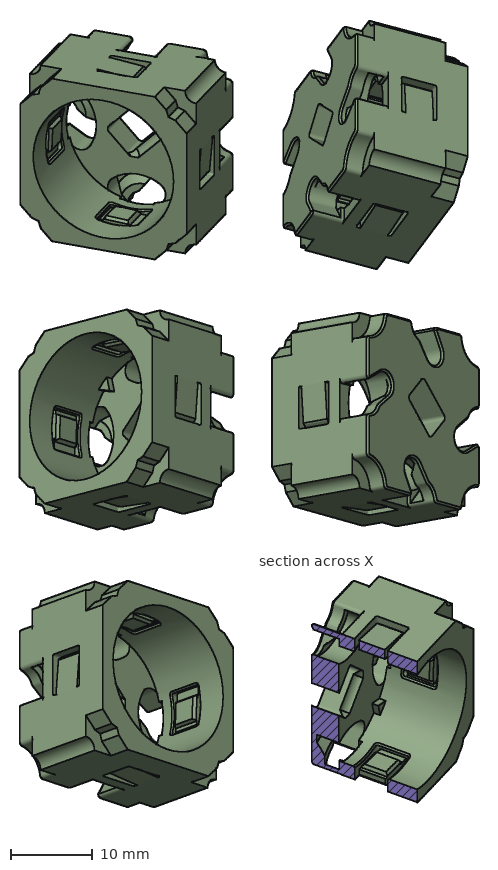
import cadquery as cq
import math


SIDE = 22.0
DEPTH = 15.0
HALF = SIDE / 2
BORE_R = 18.55 / 2
FLOOR_Y = 11.1
BACK_CHAMFER = 0.25
MOUTH_ROUND = 0.53

GROOVE_R = 1.45
LIP_DEPTH = 3.0
LIP_OUTER = 4.2
LIP_SHOULDER = 2.7
LIP_STEP = 2.4
SCALLOP_R = 3.45
SCALLOP_DEPTH = 2.45

NOTCH_R = 2.25
NOTCH_Y = 10.63
CHANNEL_R = 5.45
HOLE_R = 1.55
HOLE_ANGLE = 32.0
FLANK_ANGLE = 53.0
HOOK_NOSE_R = 0.9
RECESS_ANGLE = 39.5
HOOK_INNER_R = 3.27
HOOK_OUTER_R = 4.45
HOOK_THICK_Y = 13.1
HOOK_THIN_Y = 14.2

WINDOW_W = 5.33
WINDOW_Y0 = 4.2
WINDOW_Y1 = 8.87
WINDOW_ROUND = 0.25
TAB_Y0 = 4.6
TAB_Y1 = 8.3
TAB_BEND_X = 1.9
TAB_TIP_X = 2.45
TAB_BEND_Z = 10.6
TAB_SHOULDER_X = 2.1
TAB_SHOULDER_Z = 10.45
TAB_TIP_Z = 10.0
TAB_ROOT_INNER_Z = 9.5
TAB_TIP_INNER_Z = 9.2
TAB_OVERLAP = 0.3
PAD_START_X = -1.2
PAD_START_Z = 8.87
PAD_END_X = 1.7
PAD_END_Z = 8.75
PAD_BASE_Z = 9.4
PAD_SLOPE = 0.35
WINDOW_CHAMFER = 0.2

KEY_HALF_LENGTH = 3.1
KEY_FAR = 2.92
KEY_NEAR = 1.38
KEY_ROUND = 0.5
SCOOP_R = 0.98
SCOOP_BEVEL = 0.78

RIB_TIP_R = 7.66
RIB_HALF_WIDTH = 0.98
RIB_HEIGHT = 0.9


def sketch(y):
    """Workplane at depth y whose local axes are X and Z."""
    return cq.Workplane("XZ", origin=(0, y, 0))


def extrude(outline, y_from, y_to):
    """Extrude an outline that lies at y_from back to y_to."""
    return outline.extrude(y_from - y_to)


def turned(shape, angle):
    return shape.rotate((0, 0, 0), (0, 1, 0), angle)


def four_times(shape):
    ring = shape
    for angle in (90, 180, 270):
        ring = ring.union(turned(shape, angle))
    return ring


def mouth_points(radius, rounding):
    """Half-width, throat and round middle of a circular cut on a face with a rounded mouth.

    Points are (along the face, below the face) measured from the circle centre.
    """
    half_width = math.sqrt((radius + rounding) ** 2 - rounding ** 2)
    share = radius / (radius + rounding)
    throat = (half_width * share, rounding * share)
    reach_x = throat[0] - half_width
    reach_z = rounding - throat[1]
    lean = (math.atan2(reach_z, reach_x) + math.pi / 2) / 2
    middle = (half_width + rounding * math.cos(lean), rounding - rounding * math.sin(lean))
    return half_width, throat, middle


def corner_groove():
    return extrude(sketch(0).center(HALF, HALF).circle(GROOVE_R), 0, DEPTH)


def corner_lip():
    """Stepped piece removed from a front corner."""
    shoulder = LIP_OUTER - LIP_SHOULDER
    outline = sketch(0).polyline([
        (HALF, HALF),
        (HALF - LIP_OUTER, HALF),
        (HALF - LIP_SHOULDER, HALF - shoulder),
        (HALF - LIP_STEP, HALF - LIP_STEP),
        (HALF - shoulder, HALF - LIP_SHOULDER),
        (HALF, HALF - LIP_OUTER),
    ]).close()
    return extrude(outline, 0, LIP_DEPTH)


def corner_scallop():
    """Quarter-round cut in a back corner with rounded ends."""
    width, throat, middle = mouth_points(SCALLOP_R, MOUTH_ROUND)
    deep = SCALLOP_R / math.sqrt(2)
    start = DEPTH - SCALLOP_DEPTH
    outline = (
        sketch(start)
        .moveTo(HALF, HALF)
        .lineTo(HALF - width, HALF)
        .threePointArc((HALF - middle[0], HALF - middle[1]), (HALF - throat[0], HALF - throat[1]))
        .threePointArc((HALF - deep, HALF - deep), (HALF - throat[1], HALF - throat[0]))
        .threePointArc((HALF - middle[1], HALF - middle[0]), (HALF, HALF - width))
        .close()
    )
    return extrude(outline, start, DEPTH)


def channel_end(angle):
    """Centre of the round end of the hook channel at an angle from straight inwards, +X positive."""
    reach = CHANNEL_R - HOLE_R
    turn = math.radians(angle)
    return reach * math.sin(turn), HALF - reach * math.cos(turn)


def channel_rim(angle):
    """Point on the channel's outer circle at an angle from straight inwards, +X positive."""
    turn = math.radians(angle)
    return CHANNEL_R * math.sin(turn), HALF - CHANNEL_R * math.cos(turn)


def around(centre, radius, angle):
    """Point on a circle, with the angle in radians from +X towards +Z."""
    return centre[0] + radius * math.cos(angle), centre[1] + radius * math.sin(angle)


def throat_tangent_angle(centre, throat, side):
    """Where a line from a throat point touches a channel end, on its -X (side -1) or +X (side 1) flank."""
    span_x = throat[0] - centre[0]
    span_z = throat[1] - centre[1]
    return math.atan2(span_z, span_x) - side * math.acos(HOLE_R / math.hypot(span_x, span_z))


def notch_outline(y):
    """Notch opening at depth y: rounded mouth, hook flank and round channel end."""
    width, throat, middle = mouth_points(NOTCH_R, MOUTH_ROUND)
    hole = channel_end(-HOLE_ANGLE)
    left_throat = (-throat[0], HALF - throat[1])
    left_angle = throat_tangent_angle(hole, left_throat, -1)
    flank = math.radians(FLANK_ANGLE)
    normal = (math.sin(flank), -math.cos(flank))
    flank_angle = flank + 1.5 * math.pi
    flank_start = around(hole, HOLE_R, flank_angle)

    across = hole[0] * normal[0] + (hole[1] - HALF) * normal[1] + HOLE_R + HOOK_NOSE_R
    centre_reach = NOTCH_R + HOOK_NOSE_R
    travel = -math.sqrt(centre_reach ** 2 - across ** 2)
    nose_x = travel * math.cos(flank) + across * normal[0]
    nose_z = travel * math.sin(flank) + across * normal[1] + HALF
    flank_end = (nose_x - HOOK_NOSE_R * normal[0], nose_z - HOOK_NOSE_R * normal[1])
    hook_tip = (nose_x * NOTCH_R / centre_reach, HALF + (nose_z - HALF) * NOTCH_R / centre_reach)

    half_turn = math.atan2(throat[0], throat[1]) / 2 + math.asin(hook_tip[0] / NOTCH_R) / 2
    arc_middle = (NOTCH_R * math.sin(half_turn), HALF - NOTCH_R * math.cos(half_turn))
    return (
        sketch(y)
        .moveTo(-width, HALF)
        .threePointArc((-middle[0], HALF - middle[1]), left_throat)
        .lineTo(*around(hole, HOLE_R, left_angle))
        .threePointArc(around(hole, HOLE_R, (left_angle + flank_angle) / 2), flank_start)
        .lineTo(*flank_end)
        .tangentArcPoint(hook_tip, relative=False)
        .threePointArc(arc_middle, (throat[0], HALF - throat[1]))
        .threePointArc((middle[0], HALF - middle[1]), (width, HALF))
        .close()
    )


def notch_opening():
    """Through opening that flares out at the back face."""
    opening = extrude(notch_outline(FLOOR_Y), FLOOR_Y, DEPTH)
    flare = notch_outline(DEPTH - BACK_CHAMFER).extrude(-BACK_CHAMFER, taper=-45)
    return opening.union(flare)


def notch_entry():
    """Part of the notch in front of the floor, reaching from the outer face into the bore."""
    width, throat, middle = mouth_points(NOTCH_R, MOUTH_ROUND)
    bottom = HALF - CHANNEL_R / 2
    outline = (
        sketch(NOTCH_Y)
        .moveTo(-width, HALF)
        .threePointArc((-middle[0], HALF - middle[1]), (-throat[0], HALF - throat[1]))
        .lineTo(-throat[0], bottom)
        .lineTo(throat[0], bottom)
        .lineTo(throat[0], HALF - throat[1])
        .threePointArc((middle[0], HALF - middle[1]), (width, HALF))
        .close()
    )
    return extrude(outline, NOTCH_Y, FLOOR_Y)


def hook_recess():
    """Hollow under the hook: ring-shaped, with a conical step in its roof."""
    throat = mouth_points(NOTCH_R, MOUTH_ROUND)[1]
    throat_z = HALF - throat[1]
    closed_end = channel_end(RECESS_ANGLE)
    start_angle = math.radians(RECESS_ANGLE) - math.pi / 2
    end_angle = throat_tangent_angle(closed_end, (throat[0], throat_z), 1)
    outline = (
        sketch(FLOOR_Y)
        .moveTo(*channel_end(-HOLE_ANGLE))
        .lineTo(*channel_rim(-HOLE_ANGLE))
        .threePointArc(channel_rim(0), channel_rim(RECESS_ANGLE))
        .threePointArc(around(closed_end, HOLE_R, (start_angle + end_angle) / 2),
                       around(closed_end, HOLE_R, end_angle))
        .lineTo(throat[0], throat_z)
        .lineTo(-throat[0], throat_z)
        .close()
    )
    hollow = extrude(outline, FLOOR_Y, HOOK_THIN_Y)
    hook = (
        cq.Workplane("XY")
        .polyline([
            (0, HOOK_THICK_Y),
            (HOOK_INNER_R, HOOK_THICK_Y),
            (HOOK_OUTER_R, HOOK_THIN_Y),
            (0, HOOK_THIN_Y),
        ])
        .close()
        .revolve(360, (0, 0, 0), (0, 1, 0))
        .translate((0, 0, HALF))
    )
    return hollow.cut(hook)


def side_window():
    height = WINDOW_Y1 - WINDOW_Y0
    return (
        cq.Workplane("XY", origin=(0, WINDOW_Y0 + height / 2, BORE_R / 2))
        .rect(WINDOW_W, height)
        .extrude(HALF)
        .edges("|Z")
        .fillet(WINDOW_ROUND)
    )


def window_rim(angle):
    """Selector for the edges where one side window breaks into the bore."""
    turn = math.radians(angle)
    middle = (BORE_R * math.sin(turn), (WINDOW_Y0 + WINDOW_Y1) / 2, BORE_R * math.cos(turn))
    along = WINDOW_W / 2 + TAB_OVERLAP
    across = BORE_R - math.sqrt(BORE_R ** 2 - along ** 2)
    reach_x = abs(along * math.cos(turn)) + abs(across * math.sin(turn))
    reach_z = abs(along * math.sin(turn)) + abs(across * math.cos(turn))
    reach_y = (WINDOW_Y1 - WINDOW_Y0) / 2 + TAB_OVERLAP
    low = (middle[0] - reach_x, middle[1] - reach_y, middle[2] - reach_z)
    high = (middle[0] + reach_x, middle[1] + reach_y, middle[2] + reach_z)
    return cq.selectors.BoxSelector(low, high)


def spring_tab():
    """Tongue rooted at the window's -X end, with a bevelled pad standing into the bore."""
    root_x = -WINDOW_W / 2
    tongue = extrude(sketch(TAB_Y0).polyline([
        (root_x - TAB_OVERLAP, TAB_ROOT_INNER_Z),
        (root_x - TAB_OVERLAP, HALF),
        (root_x, HALF),
        (TAB_BEND_X, TAB_BEND_Z),
        (TAB_SHOULDER_X, TAB_SHOULDER_Z),
        (TAB_TIP_X, TAB_TIP_Z),
        (TAB_TIP_X, TAB_TIP_INNER_Z),
    ]).close(), TAB_Y0, TAB_Y1)
    pad = extrude(sketch(TAB_Y0).polyline([
        (PAD_START_X - PAD_SLOPE, PAD_BASE_Z),
        (PAD_START_X, PAD_START_Z),
        (PAD_END_X, PAD_END_Z),
        (PAD_END_X + PAD_SLOPE, PAD_BASE_Z),
    ]).close(), TAB_Y0, TAB_Y1)
    pad = pad.faces("<Z").edges(">Y or <Y").chamfer(PAD_SLOPE)
    return tongue.union(pad)


def key_hole():
    """Through hole with rounded corners and a quarter-round scoop, bevelled at both ends."""
    outline = sketch(FLOOR_Y).center(0, (KEY_FAR - KEY_NEAR) / 2).rect(2 * KEY_HALF_LENGTH, KEY_FAR + KEY_NEAR)
    hole = extrude(outline, FLOOR_Y, DEPTH).edges("|Y").fillet(KEY_ROUND)
    inner = KEY_HALF_LENGTH - SCOOP_BEVEL
    end_r = SCOOP_R - SCOOP_BEVEL
    scoop = (
        cq.Workplane("XY")
        .polyline([
            (-KEY_HALF_LENGTH, 0),
            (-KEY_HALF_LENGTH, end_r),
            (-inner, SCOOP_R),
            (inner, SCOOP_R),
            (KEY_HALF_LENGTH, end_r),
            (KEY_HALF_LENGTH, 0),
        ])
        .close()
        .revolve(360, (0, 0, 0), (1, 0, 0))
        .translate((0, FLOOR_Y, -KEY_NEAR))
    )
    return turned(hole.union(scoop), -45)


def floor_rib():
    outline = sketch(FLOOR_Y - RIB_HEIGHT).polyline([
        (0, RIB_TIP_R),
        (RIB_HALF_WIDTH, BORE_R),
        (-RIB_HALF_WIDTH, BORE_R),
    ]).close()
    return turned(extrude(outline, FLOOR_Y - RIB_HEIGHT, FLOOR_Y), -45)


body = extrude(sketch(0).rect(SIDE, SIDE), 0, DEPTH)
body = body.cut(four_times(corner_groove()))
body = body.cut(four_times(corner_lip()))
body = body.cut(four_times(corner_scallop()))
body = body.faces(">Y").chamfer(BACK_CHAMFER)
body = body.cut(extrude(sketch(0).circle(BORE_R), 0, FLOOR_Y))
body = body.cut(four_times(notch_opening()))
body = body.cut(four_times(notch_entry()))
body = body.cut(four_times(hook_recess()))
body = body.cut(four_times(side_window()))
for side_angle in (0, 90, 180, 270):
    body = body.edges(window_rim(side_angle)).chamfer(WINDOW_CHAMFER)
body = body.union(four_times(spring_tab()))
body = body.cut(key_hole())
body = body.union(floor_rib())
body = body.union(turned(floor_rib(), 180))

result = body